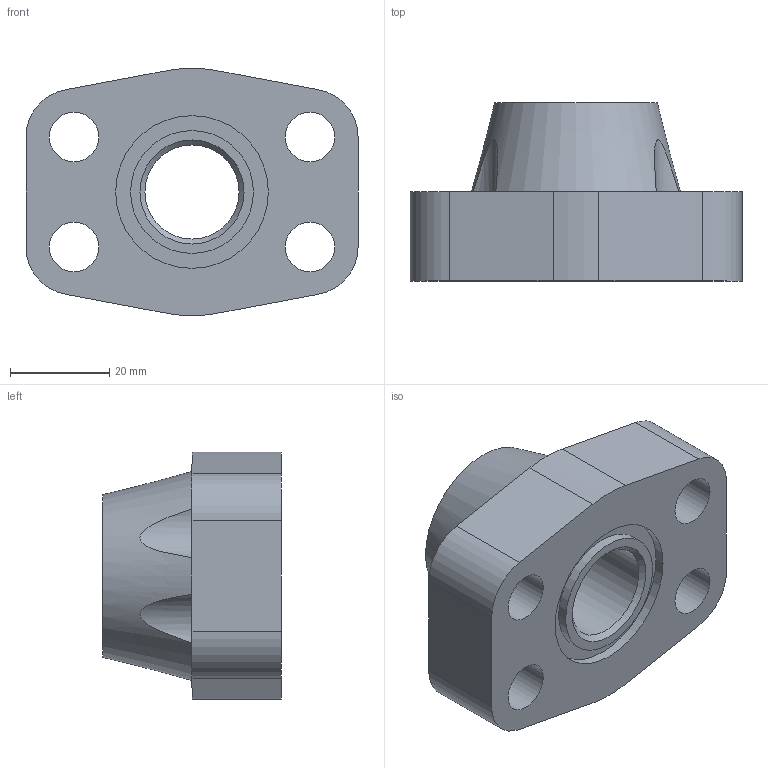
import cadquery as cq
import math

plate_thickness = 18.0
plate_width = 67.0
crown_radius = 25.0

bolt_spacing_x = 47.6
bolt_spacing_z = 22.2
bolt_hole_diameter = 10.0
bolt_head_clearance_diameter = 16.0
bolt_x = bolt_spacing_x / 2
bolt_z = bolt_spacing_z / 2
corner_radius = plate_width / 2 - bolt_x

hub_length = 18.0
hub_base_radius = 21.1
hub_tip_radius = 16.4
hub_flare_sag = 0.1

bore_diameter = 19.0
bore_chamfer = 1.0
groove_inner_diameter = 24.8
groove_outer_diameter = 30.8
groove_depth = 2.0

total_length = plate_thickness + hub_length


def cylinder_along_y(diameter, start_y, length, x=0.0, z=0.0):
    return cq.Workplane(cq.Solid.makeCylinder(
        diameter / 2, length, cq.Vector(x, start_y, z), cq.Vector(0, 1, 0)))


def bolt_centres():
    return [(sx * bolt_x, sz * bolt_z) for sx in (-1, 1) for sz in (-1, 1)]


def make_plate():
    bolt_circle_radius = math.hypot(bolt_x, bolt_z)
    bolt_angle = math.atan2(bolt_x, bolt_z)
    tangent_angle = bolt_angle - math.acos((crown_radius - corner_radius) / bolt_circle_radius)
    corner_mid_angle = (tangent_angle + math.pi / 2) / 2

    crown_x = crown_radius * math.sin(tangent_angle)
    crown_z = crown_radius * math.cos(tangent_angle)
    slope_x = bolt_x + corner_radius * math.sin(tangent_angle)
    slope_z = bolt_z + corner_radius * math.cos(tangent_angle)
    corner_x = bolt_x + corner_radius * math.sin(corner_mid_angle)
    corner_z = bolt_z + corner_radius * math.cos(corner_mid_angle)
    side_x = plate_width / 2

    return (
        cq.Workplane("XZ")
        .moveTo(-crown_x, crown_z)
        .threePointArc((0, crown_radius), (crown_x, crown_z))
        .lineTo(slope_x, slope_z)
        .threePointArc((corner_x, corner_z), (side_x, bolt_z))
        .lineTo(side_x, -bolt_z)
        .threePointArc((corner_x, -corner_z), (slope_x, -slope_z))
        .lineTo(crown_x, -crown_z)
        .threePointArc((0, -crown_radius), (-crown_x, -crown_z))
        .lineTo(-slope_x, -slope_z)
        .threePointArc((-corner_x, -corner_z), (-side_x, -bolt_z))
        .lineTo(-side_x, bolt_z)
        .threePointArc((-corner_x, corner_z), (-slope_x, slope_z))
        .close()
        .extrude(-plate_thickness)
    )


def make_hub():
    mid_radius = (hub_base_radius + hub_tip_radius) / 2 - hub_flare_sag
    mid_y = plate_thickness + hub_length / 2
    hub = (
        cq.Workplane("XY")
        .moveTo(0, plate_thickness)
        .lineTo(-hub_base_radius, plate_thickness)
        .threePointArc((-mid_radius, mid_y), (-hub_tip_radius, total_length))
        .lineTo(0, total_length)
        .close()
        .revolve(360, (0, 0, 0), (0, 1, 0))
    )
    for x, z in bolt_centres():
        hub = hub.cut(cylinder_along_y(
            bolt_head_clearance_diameter, plate_thickness, hub_length, x, z))
    return hub


def make_bore():
    mouth_radius = bore_diameter / 2 + bore_chamfer
    mouth = cq.Workplane(cq.Solid.makeCone(
        mouth_radius, bore_diameter / 2, bore_chamfer,
        cq.Vector(0, 0, 0), cq.Vector(0, 1, 0)))
    return cylinder_along_y(bore_diameter, 0, total_length).union(mouth)


def make_seal_groove():
    outer = cylinder_along_y(groove_outer_diameter, 0, groove_depth)
    return outer.cut(cylinder_along_y(groove_inner_diameter, 0, groove_depth))


result = make_plate().union(make_hub())
result = result.cut(make_bore()).cut(make_seal_groove())
for bolt_hole_x, bolt_hole_z in bolt_centres():
    result = result.cut(cylinder_along_y(
        bolt_hole_diameter, 0, plate_thickness, bolt_hole_x, bolt_hole_z))